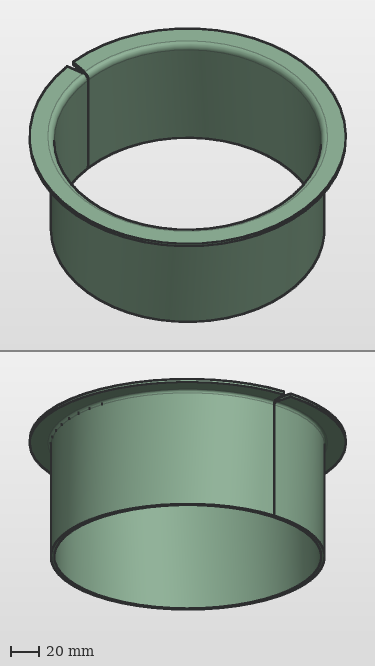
import cadquery as cq

flange_radius = 112.5
height = 90.0
bore_radius = 95.0
wall = 2.5
inside_bend = 2.0
outside_bend = inside_bend + wall
sleeve_radius = bore_radius + wall
bend_end_radius = bore_radius + outside_bend
bend_start_z = height - outside_bend

slit_y = -3.4
slit_width = 0.7
wedge_inner_half_width = 1.0
wedge_outer_half_width = 3.04
wedge_outer_y = -3.8
cut_margin = 2.2


def make_flanged_sleeve():
    """Revolve the bent sheet section, drawn on the -X side, about Z."""
    diagonal = 0.5 ** 0.5
    section = (
        cq.Workplane("XZ")
        .moveTo(-bore_radius, 0)
        .lineTo(-bore_radius, bend_start_z)
        .threePointArc(
            (-bend_end_radius + outside_bend * diagonal, bend_start_z + outside_bend * diagonal),
            (-bend_end_radius, height),
        )
        .lineTo(-flange_radius, height)
        .lineTo(-flange_radius, height - wall)
        .lineTo(-bend_end_radius, height - wall)
        .threePointArc(
            (-bend_end_radius + inside_bend * diagonal, bend_start_z + inside_bend * diagonal),
            (-sleeve_radius, bend_start_z),
        )
        .lineTo(-sleeve_radius, 0)
        .close()
    )
    return section.revolve(360, (0, 0, 0), (0, 1, 0))


def make_slit():
    length = flange_radius - bore_radius + 2 * cut_margin
    centre_x = -(flange_radius + bore_radius) / 2
    return (
        cq.Workplane("XY")
        .center(centre_x, slit_y)
        .rect(length, slit_width)
        .extrude(height)
    )


def make_flange_wedge():
    outline = [
        (-bend_end_radius, slit_y + wedge_inner_half_width),
        (-flange_radius, wedge_outer_y + wedge_outer_half_width),
        (-flange_radius - cut_margin, wedge_outer_y + wedge_outer_half_width),
        (-flange_radius - cut_margin, wedge_outer_y - wedge_outer_half_width),
        (-flange_radius, wedge_outer_y - wedge_outer_half_width),
        (-bend_end_radius, slit_y - wedge_inner_half_width),
    ]
    return (
        cq.Workplane("XY", origin=(0, 0, height - wall))
        .polyline(outline)
        .close()
        .extrude(wall)
    )


result = make_flanged_sleeve().cut(make_slit()).cut(make_flange_wedge())